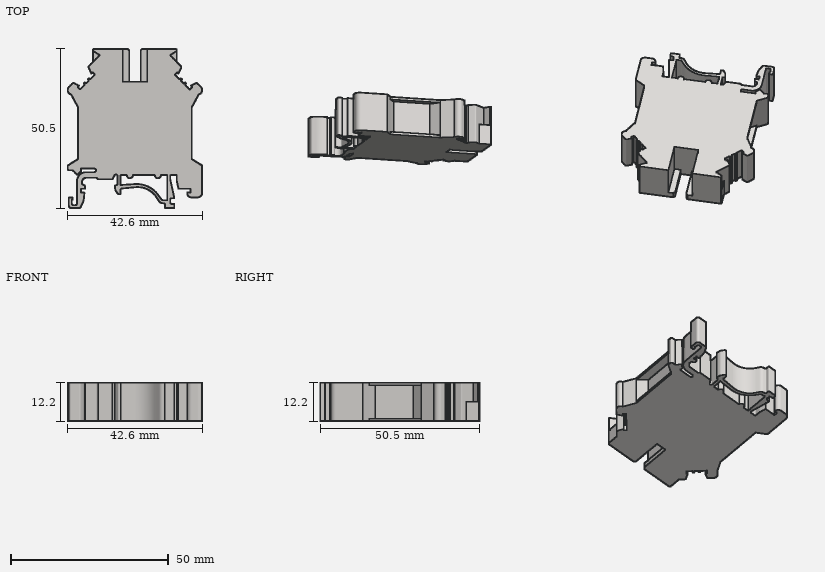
import cadquery as cq
import math


WIDTH = 42.62
LENGTH = 50.5
THICKNESS = 12.2
HALF_WIDTH = WIDTH / 2

SIDE_WALL_X = 18.08
SIDE_WALL_BOTTOM = 15.55
SIDE_WALL_TOP = 32.0
UNDERSIDE = 10.45
FLARE_BOTTOM = 13.52
SMALL_ROUND = 0.25

HEAD_HALF_WIDTH = 13.3
HEAD_CHAMFER = 0.3
SLOT_HALF_WIDTH = 1.78
SLOT_BOTTOM = 40.05
SLOT_CHAMFER = 0.54
WIDE_SLOT_HALF_WIDTH = 3.86
SLOT_LEDGE_HEIGHT = 2.0
NOTCH_TIP_X = 11.15
NOTCH_TIP_Y = 48.45
NOTCH_TOP = 49.85
NOTCH_BOTTOM = NOTCH_TIP_Y - (HEAD_HALF_WIDTH - NOTCH_TIP_X)
SHOULDER_X = 14.83
NOTCH_FLOOR = 6.23

SEAT_UPPER = (12.72, 42.27)
SEAT_LENGTH = 6.54
PEG_PITCH = 1.86
PEG_BASE = 0.7
PEG_TIP = 0.5
PEG_HEIGHT = 0.55

POCKET_DEPTH = 2.8
POCKET_SKIN = 0.86
POCKET_FLOOR_BOTTOM = 17.48
POCKET_FLOOR_TOP = 29.4

FOOT_OUTER_X = -18.41
FOOT_INNER_X = -17.04
FOOT_HOOK_X = -20.98
HOOK_LIP_X = -19.76
HOOK_GROOVE_X = -19.93
HOOK_TOP = 3.42
HOOK_NECK = 2.6
HOOK_FLOOR = 1.0
FOOT_SLOT_TOP = 12.5
FOOT_SLOT_BOTTOM = 11.45
FOOT_SLOT_END = -12.35
FOOT_SLOT_ROUND = 0.5
RAIL_TOP = 6.14
RAIL_BOTTOM = 4.97
FOOT_LIP_TOP = 9.57
PAD_UNDERSIDE = 9.1

LEFT_LEG_OUTER = -5.56
LEFT_LEG_INNER = -4.52
RIGHT_LEG_INNER = 10.17
RIGHT_LEG_OUTER = 11.2
RIGHT_LEG_TOE = 12.46
WINDOW_BOTTOM = 2.57
ARCH_UPPER_RADIUS = 8.3
ARCH_LOWER_RADIUS = 7.2
ARCH_END = 1.54
BUMP_RADIUS = 1.0
BUMP_CENTRES = (-1.6, 7.28)

CLAW_INNER_X = 17.55
CLAW_TIP_X = 16.52
CLAW_BOTTOM = 3.38


def rounded_outline(corners):
    """Closed wire through (x, y) or (x, y, radius) corners; a radius makes a tangent arc."""
    wire = None
    count = len(corners)
    for i, corner in enumerate(corners):
        point = cq.Vector(corner[0], corner[1])
        radius = corner[2] if len(corner) == 3 else 0
        if radius:
            before = cq.Vector(*corners[i - 1][:2])
            after = cq.Vector(*corners[(i + 1) % count][:2])
            back = (before - point).normalized()
            ahead = (after - point).normalized()
            half_angle = back.getAngle(ahead) / 2
            setback = radius / math.tan(half_angle)
            to_arc = radius / math.sin(half_angle) - radius
            start = point + back * setback
            middle = point + (back + ahead).normalized() * to_arc
            end = point + ahead * setback
        else:
            start = point
        if wire is None:
            wire = cq.Workplane("XY").moveTo(start.x, start.y)
        else:
            wire = wire.lineTo(start.x, start.y)
        if radius:
            wire = wire.threePointArc((middle.x, middle.y), (end.x, end.y))
    return wire.close()


def mirrored(corners):
    """The corners reflected in X = 0, in reverse order so the outline keeps its direction."""
    return [(-corner[0], *corner[1:]) for corner in reversed(corners)]


def seat_point(along, height):
    """Point on the +X label seat: distance down the slope, and height above its face."""
    step = math.sqrt(0.5)
    return (SEAT_UPPER[0] + (along + height) * step, SEAT_UPPER[1] + (height - along) * step)


def label_seat():
    """The +X label seat from its lower end to its upper end, with its pegs."""
    corners = [seat_point(SEAT_LENGTH, 0)]
    for side in (1, -1):
        centre = SEAT_LENGTH / 2 + side * PEG_PITCH / 2
        corners.append(seat_point(centre + PEG_BASE / 2, 0))
        corners.append(seat_point(centre + PEG_TIP / 2, PEG_HEIGHT))
        corners.append(seat_point(centre - PEG_TIP / 2, PEG_HEIGHT))
        corners.append(seat_point(centre - PEG_BASE / 2, 0))
    corners.append(seat_point(0, 0))
    return corners


def right_flank():
    """The +X side from the foot of the side wall up to the bottom of the marker slot."""
    ear = [
        (SIDE_WALL_X, SIDE_WALL_BOTTOM),
        (SIDE_WALL_X, SIDE_WALL_TOP),
        (20.2, 35.95),
        (HALF_WIDTH, 36.6, 1.25),
        (HALF_WIDTH, 38.05, 1.25),
        (19.55, 39.75, 0.3),
        (17.7, 38.82),
        (18.15, 38.37),
    ]
    shoulder = [
        (13.44, 42.98),
        (13.8, 42.65),
        (SHOULDER_X, NOTCH_BOTTOM - (SHOULDER_X - HEAD_HALF_WIDTH), 0.5),
        (HEAD_HALF_WIDTH, NOTCH_BOTTOM),
    ]
    head = [
        (HEAD_HALF_WIDTH, LENGTH - HEAD_CHAMFER),
        (HEAD_HALF_WIDTH - HEAD_CHAMFER, LENGTH),
        (SLOT_HALF_WIDTH + SLOT_CHAMFER, LENGTH),
        (SLOT_HALF_WIDTH, LENGTH - SLOT_CHAMFER),
        (SLOT_HALF_WIDTH, SLOT_BOTTOM),
    ]
    return ear + label_seat() + shoulder + head


def sprung_foot():
    """The -X flare, the slot above the foot, and the hooked foot that grips the rail."""
    flare = [
        (-HALF_WIDTH, FLARE_BOTTOM, 0.2),
        (-HALF_WIDTH, 12.0, 0.45),
        (-19.76, 12.0),
        (-18.25, 10.49, 0.2),
        (FOOT_INNER_X, 11.66),
        (FOOT_INNER_X, FOOT_SLOT_TOP),
    ]
    slot = [
        (FOOT_SLOT_END, FOOT_SLOT_TOP, FOOT_SLOT_ROUND),
        (FOOT_SLOT_END, FOOT_SLOT_BOTTOM, FOOT_SLOT_ROUND),
    ]
    hook = [
        (FOOT_OUTER_X, FOOT_SLOT_BOTTOM, 2.95),
        (FOOT_OUTER_X, HOOK_FLOOR, 0.4),
        (HOOK_GROOVE_X, HOOK_FLOOR, 0.3),
        (HOOK_GROOVE_X, HOOK_NECK),
        (HOOK_LIP_X, HOOK_NECK),
        (HOOK_LIP_X, HOOK_TOP, SMALL_ROUND),
        (FOOT_HOOK_X, HOOK_TOP, SMALL_ROUND),
        (FOOT_HOOK_X, 0, 0.8),
        (-17.3, 0, 0.6),
        (-16.2, 2.3, 5.0),
        (-15.95, RAIL_BOTTOM, 0.2),
    ]
    jaw = [
        (FOOT_INNER_X, RAIL_BOTTOM),
        (FOOT_INNER_X, RAIL_TOP),
        (-15.8, RAIL_TOP),
        (-15.8, 7.15, 0.4),
        (-16.75, 7.65, 0.1),
        (-16.75, FOOT_LIP_TOP, 1.3),
    ]
    return flare + slot + hook + jaw


def underside_pad():
    """Thick pad between the sprung foot and the left leg of the arch."""
    return [
        (-12.1, FOOT_LIP_TOP, 0.3),
        (-11.65, PAD_UNDERSIDE),
        (-7.13, PAD_UNDERSIDE),
        (-6.3, 10.6, 0.3),
        (LEFT_LEG_OUTER, 10.6, 0.35),
    ]


def arch_underside():
    """Outside of both legs and the lower face of the arch joining them."""
    left_toe = [
        (LEFT_LEG_OUTER, 7.45),
        (-6.45, 7.15, 0.3),
        (-6.2, 5.6, 1.5),
        (-5.3, 4.4, 0.3),
        (LEFT_LEG_INNER, 4.4, 0.3),
        (LEFT_LEG_INNER, 6.15, 0.35),
    ]
    arch = [
        (4.5, 7.05, ARCH_LOWER_RADIUS),
        (8.04, ARCH_END, 1.5),
    ]
    right_toe = [
        (9.5, ARCH_END, 0.5),
        (9.5, 0, 0.2),
        (RIGHT_LEG_TOE, 0, 0.2),
        (RIGHT_LEG_TOE, 1.37),
        (11.75, 1.37),
        (RIGHT_LEG_OUTER, ARCH_END),
        (RIGHT_LEG_OUTER, 3.08, SMALL_ROUND),
        (RIGHT_LEG_TOE, 3.08),
        (RIGHT_LEG_TOE, 3.5),
        (RIGHT_LEG_OUTER, 9.3),
        (RIGHT_LEG_OUTER, UNDERSIDE, SMALL_ROUND),
    ]
    return left_toe + arch + right_toe


def fixed_claw():
    """The rigid +X claw and the flare above it."""
    return [
        (13.25, UNDERSIDE, SMALL_ROUND),
        (13.25, 8.45),
        (13.78, RAIL_TOP),
        (CLAW_INNER_X, RAIL_TOP),
        (CLAW_INNER_X, RAIL_BOTTOM),
        (CLAW_TIP_X, RAIL_BOTTOM),
        (CLAW_TIP_X, CLAW_BOTTOM, 1.4),
        (HALF_WIDTH, CLAW_BOTTOM, 1.45),
        (HALF_WIDTH, FLARE_BOTTOM),
    ]


def housing():
    """The full outline extruded through the thickness."""
    flank = right_flank()
    corners = (
        mirrored(flank)
        + sprung_foot()
        + underside_pad()
        + arch_underside()
        + fixed_claw()
        + flank
    )
    return rounded_outline(corners).extrude(THICKNESS)


def arch_window():
    """Through opening between the housing, the two legs and the top of the arch."""
    opening = rounded_outline([
        (LEFT_LEG_INNER, UNDERSIDE, SMALL_ROUND),
        (LEFT_LEG_INNER, 7.38),
        (4.54, 7.97, ARCH_UPPER_RADIUS),
        (8.6, WINDOW_BOTTOM, 0.3),
        (RIGHT_LEG_INNER, WINDOW_BOTTOM),
        (RIGHT_LEG_INNER, UNDERSIDE),
    ]).extrude(THICKNESS)
    bump_places = [(x, UNDERSIDE) for x in BUMP_CENTRES]
    bumps = cq.Workplane("XY").pushPoints(bump_places).circle(BUMP_RADIUS).extrude(THICKNESS)
    return opening.cut(bumps)


def wide_marker_slot():
    """Widens the marker slot above a ledge on each side of it."""
    depth = LENGTH - SLOT_BOTTOM
    return (
        cq.Workplane("XY", origin=(0, SLOT_BOTTOM + depth / 2, SLOT_LEDGE_HEIGHT))
        .rect(2 * WIDE_SLOT_HALF_WIDTH, depth)
        .extrude(THICKNESS - SLOT_LEDGE_HEIGHT)
    )


def head_notch():
    """V-shaped notch in the +X edge of the head, open to the top face."""
    return (
        cq.Workplane("XY", origin=(0, 0, NOTCH_FLOOR))
        .polyline([
            (NOTCH_TIP_X, NOTCH_TIP_Y),
            (HEAD_HALF_WIDTH, NOTCH_BOTTOM),
            (HEAD_HALF_WIDTH, NOTCH_TOP),
        ])
        .close()
        .extrude(THICKNESS - NOTCH_FLOOR)
    )


def side_pocket():
    """Recess with sloping ends in the +X side wall, leaving a skin on both faces."""
    floor_x = SIDE_WALL_X - POCKET_DEPTH
    return (
        cq.Workplane("XY", origin=(0, 0, POCKET_SKIN))
        .polyline([
            (SIDE_WALL_X, SIDE_WALL_BOTTOM),
            (SIDE_WALL_X, SIDE_WALL_TOP),
            (floor_x, POCKET_FLOOR_TOP),
            (floor_x, POCKET_FLOOR_BOTTOM),
        ])
        .close()
        .extrude(THICKNESS - 2 * POCKET_SKIN)
    )


result = housing().cut(arch_window()).cut(wide_marker_slot())
for recess in (head_notch(), side_pocket()):
    result = result.cut(recess).cut(recess.mirror("YZ"))